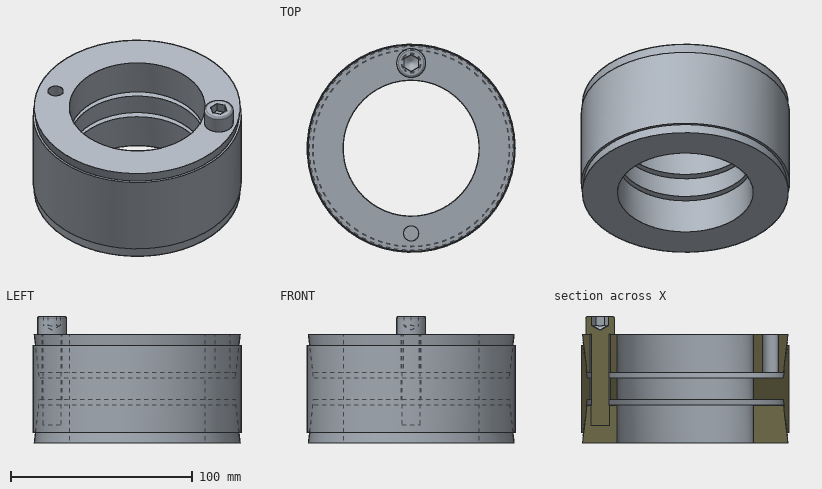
import cadquery as cq
import math


stack_height = 60.0
mid_height = stack_height / 2
bore_radius = 75.0 / 2
sleeve_radius = 115 / 2

wedge_height = 21.0
wedge_end_radius = 56.9
wedge_mouth_radius = 56.2
wedge_exposed = 6.0
taper_slope = (wedge_end_radius - wedge_mouth_radius) / wedge_exposed
wedge_tip_radius = wedge_end_radius - taper_slope * wedge_height

rib_gap = 3.0
rib_bottom = wedge_height + rib_gap
rib_top = stack_height - rib_bottom
rib_root_radius = wedge_end_radius - taper_slope * rib_bottom

hole_pitch_radius = 47.0
shank_diameter = 10.0
shank_length = 50.0
clearance_diameter = 11.0
jacking_diameter = 8.4
head_diameter = 16.0
head_height = 10.0
head_rounding = 1.0
hex_across_flats = 8.0
hex_corner_radius = hex_across_flats / math.sqrt(3)
hex_depth = 5.0
hex_cone_depth = 2.6
shank_end = stack_height - shank_length


def vertical_cylinder(y, bottom, top, diameter):
    """Vertical cylinder at X = 0, used for holes and the screw."""
    return (
        cq.Workplane("XY", origin=(0, y, bottom))
        .circle(diameter / 2)
        .extrude(top - bottom)
    )


def ring_from_section(points):
    """Revolve a (radius, height) section about the Z axis."""
    return (
        cq.Workplane("XZ")
        .polyline(points)
        .close()
        .revolve(360, (0, 0, 0), (0, 1, 0))
    )


def make_wedge_ring():
    """Plain wedge ring, widest at its bottom face."""
    return ring_from_section([
        (bore_radius, 0),
        (wedge_end_radius, 0),
        (wedge_tip_radius, wedge_height),
        (bore_radius, wedge_height),
    ])


def make_lower_ring():
    """Wedge ring with the blind hole that takes the screw end."""
    screw_hole = vertical_cylinder(hole_pitch_radius, shank_end, wedge_height, shank_diameter)
    return make_wedge_ring().cut(screw_hole)


def make_upper_ring():
    """Mirrored wedge ring with a clearance hole and a jacking hole opposite it."""
    ring = make_wedge_ring().mirror("XY", (0, 0, mid_height))
    bottom = stack_height - wedge_height
    clearance = vertical_cylinder(hole_pitch_radius, bottom, stack_height, clearance_diameter)
    jacking = vertical_cylinder(-hole_pitch_radius, bottom, stack_height, jacking_diameter)
    return ring.cut(clearance).cut(jacking)


def make_sleeve():
    """Double-tapered sleeve with a centre rib pierced by the screw."""
    sleeve = ring_from_section([
        (sleeve_radius, wedge_exposed),
        (sleeve_radius, stack_height - wedge_exposed),
        (wedge_mouth_radius, stack_height - wedge_exposed),
        (rib_root_radius, rib_top),
        (bore_radius, rib_top),
        (bore_radius, rib_bottom),
        (rib_root_radius, rib_bottom),
        (wedge_mouth_radius, wedge_exposed),
    ])
    return sleeve.cut(vertical_cylinder(hole_pitch_radius, rib_bottom, rib_top, clearance_diameter))


def make_hex_socket(top):
    """Hexagonal pocket with corners along Y and a conical floor."""
    socket_floor = top - hex_depth
    socket_tip = socket_floor - hex_cone_depth
    hexagon = (
        cq.Workplane("XY", origin=(0, hole_pitch_radius, socket_tip))
        .transformed(rotate=(0, 0, 90))
        .polygon(6, 2 * hex_corner_radius)
        .extrude(top - socket_tip)
    )
    drill_tip = cq.Workplane(cq.Solid.makeCone(
        0, hex_corner_radius, hex_cone_depth, cq.Vector(0, hole_pitch_radius, socket_tip)
    ))
    drill_body = vertical_cylinder(hole_pitch_radius, socket_floor, top, 2 * hex_corner_radius)
    return hexagon.intersect(drill_tip.union(drill_body))


def make_screw():
    """Socket-head cap screw seated on the top face."""
    head_top = stack_height + head_height
    head = vertical_cylinder(hole_pitch_radius, stack_height, head_top, head_diameter)
    head = head.faces(">Z").edges().fillet(head_rounding)
    shank = vertical_cylinder(hole_pitch_radius, shank_end, stack_height, shank_diameter)
    return head.union(shank).cut(make_hex_socket(head_top))


lower_ring = make_lower_ring()
upper_ring = make_upper_ring()
sleeve = make_sleeve()
screw = make_screw()

result = cq.Compound.makeCompound([
    lower_ring.val(),
    upper_ring.val(),
    sleeve.val(),
    screw.val(),
])